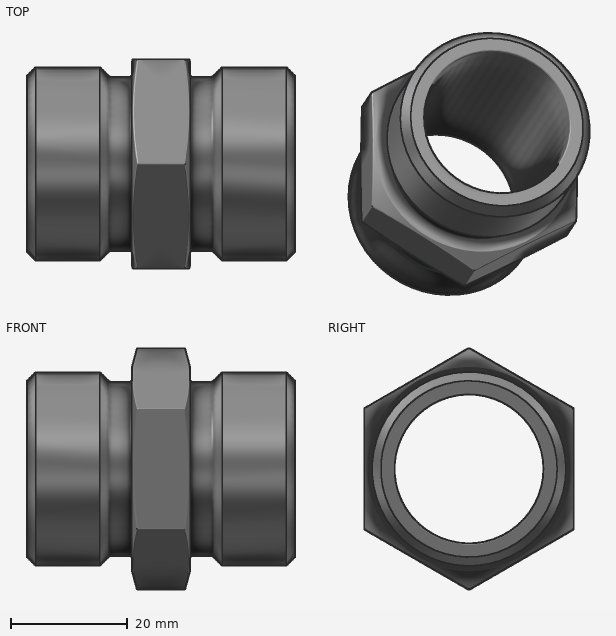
import cadquery as cq
import math

length = 46.0
bore_diameter = 25.5
bore_edge_radius = 0.3

end_diameter = 33.25
end_chamfer = 1.5
groove_diameter = 30.0
groove_slope_start = 10.5
groove_foot_radius = 0.5
groove_root_radius = 0.3

hex_width = 10.0
hex_across_flats = 36.0
hex_edge_radius = 0.3
hex_face_diameter = 35.0
hex_cone_angle = 15.0
corner_clearance = 1.0
selection_margin = 0.01

half_length = length / 2
half_hex = hex_width / 2
end_radius = end_diameter / 2
groove_radius = groove_diameter / 2
groove_floor_start = groove_slope_start - (end_radius - groove_radius)
hex_across_corners = hex_across_flats / math.cos(math.radians(30))
cut_radius = hex_across_corners / 2 + corner_clearance


def revolve_about_x(points):
    """Solid of revolution about X from (x, radius) points."""
    return cq.Workplane("XY").polyline(points).close().revolve(360, (0, 0, 0), (1, 0, 0))


def make_hexagon():
    """Hexagon with corners at +-Z, cone-chamfered at both ends, all edges rounded."""
    prism = (
        cq.Workplane("YZ")
        .polygon(6, hex_across_corners)
        .extrude(half_hex, both=True)
        .rotate((0, 0, 0), (1, 0, 0), 90)
    )
    face_radius = hex_face_diameter / 2
    cone_drop = (cut_radius - face_radius) * math.tan(math.radians(hex_cone_angle))
    envelope = revolve_about_x([
        (-half_hex, 0),
        (-half_hex, face_radius),
        (-half_hex + cone_drop, cut_radius),
        (half_hex - cone_drop, cut_radius),
        (half_hex, face_radius),
        (half_hex, 0),
    ])
    return prism.intersect(envelope).edges().fillet(hex_edge_radius)


def make_end(side):
    """Threaded end with its relief groove; side is -1 or +1 along X."""
    profile = [
        (0, 0),
        (0, groove_radius),
        (groove_floor_start, groove_radius),
        (groove_slope_start, end_radius),
        (half_length - end_chamfer, end_radius),
        (half_length, end_radius - end_chamfer),
        (half_length, 0),
    ]
    return revolve_about_x([(side * x, radius) for x, radius in profile])


def circle_edges_at(x, radius):
    """Selector for edges lying in the plane at x, within the given radius of the axis."""
    reach = radius + selection_margin
    return cq.selectors.BoxSelector(
        (x - selection_margin, -reach, -reach),
        (x + selection_margin, reach, reach),
        boundingbox=True,
    )


def round_groove(body, side):
    """Round both inner corners of one relief groove."""
    foot = circle_edges_at(side * groove_floor_start, groove_radius)
    root = circle_edges_at(side * half_hex, groove_radius)
    return body.edges(foot).fillet(groove_foot_radius).edges(root).fillet(groove_root_radius)


def cut_bore(body):
    """Through bore along X with a rounded edge at each mouth."""
    bore = cq.Workplane("YZ").circle(bore_diameter / 2).extrude(half_length, both=True)
    smallest_circle = cq.selectors.RadiusNthSelector(0)
    bored = body.cut(bore)
    for end_face in ("<X", ">X"):
        bored = bored.faces(end_face).edges(smallest_circle).fillet(bore_edge_radius)
    return bored


body = make_hexagon()
for side in (-1, 1):
    body = body.union(make_end(side))
for side in (-1, 1):
    body = round_groove(body, side)
result = cut_bore(body)